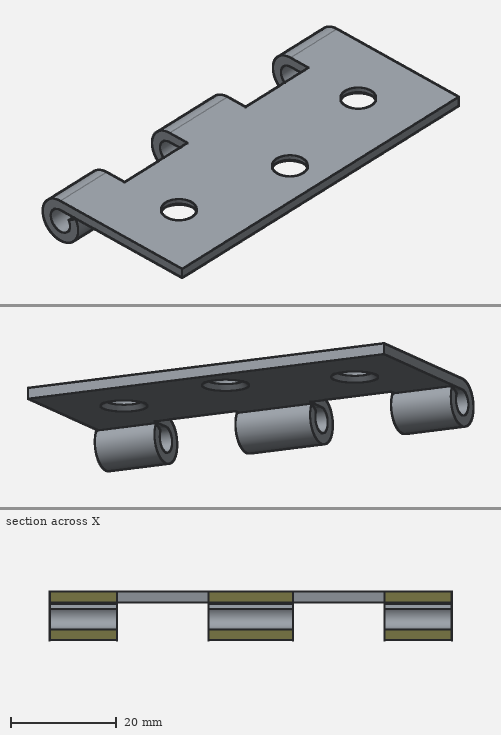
import cadquery as cq
import math

length = 76.2
width = 36.4
thickness = 2.1

outer_radius = 4.65
inner_radius = outer_radius - thickness
lip_angle = 30.0
end_knuckle = 12.8
middle_knuckle = 16.0
notch_depth = 2 * outer_radius

hole_diameter = 6.8
countersink_depth = thickness / 2
outer_hole_x = 18.2
middle_hole_x = 23.8
hole_pitch = 24.7

barrel_side = -outer_radius
plate_end = barrel_side + width
curl_angle = lip_angle + 180


def on_circle(radius, angle):
    """Point in the XZ plane at an angle in degrees from +X."""
    return (radius * math.cos(math.radians(angle)), radius * math.sin(math.radians(angle)))


def rolled_sheet():
    """Flat leaf running tangentially into a curl, extruded along Y."""
    return (
        cq.Workplane("XZ")
        .moveTo(plate_end, outer_radius)
        .lineTo(0, outer_radius)
        .threePointArc(on_circle(outer_radius, curl_angle), on_circle(outer_radius, lip_angle))
        .lineTo(*on_circle(inner_radius, lip_angle))
        .threePointArc(on_circle(inner_radius, curl_angle), (0, inner_radius))
        .lineTo(plate_end, inner_radius)
        .close()
        .extrude(length / 2, both=True)
    )


def knuckle_notches():
    """Two cutters that separate the end knuckles from the middle one."""
    notch_length = (length - middle_knuckle) / 2 - end_knuckle
    notch_y = (middle_knuckle + notch_length) / 2
    return (
        cq.Workplane("XY")
        .pushPoints([(barrel_side + notch_depth / 2, side * notch_y) for side in (-1, 1)])
        .rect(notch_depth, notch_length)
        .extrude(outer_radius, both=True)
    )


def screw_hole():
    """Cutter on the Z axis: a bore through the leaf, flared out to its underside."""
    hole_radius = hole_diameter / 2
    flare_radius = hole_radius + countersink_depth
    flare_start = inner_radius + countersink_depth
    return (
        cq.Workplane("XZ")
        .moveTo(0, inner_radius)
        .lineTo(flare_radius, inner_radius)
        .lineTo(hole_radius, flare_start)
        .lineTo(hole_radius, outer_radius)
        .lineTo(0, outer_radius)
        .close()
        .revolve(360, (0, 0, 0), (0, 1, 0))
    )


result = rolled_sheet().cut(knuckle_notches())
for hole_x, hole_y in [(outer_hole_x, -hole_pitch), (middle_hole_x, 0), (outer_hole_x, hole_pitch)]:
    result = result.cut(screw_hole().translate((hole_x, hole_y, 0)))